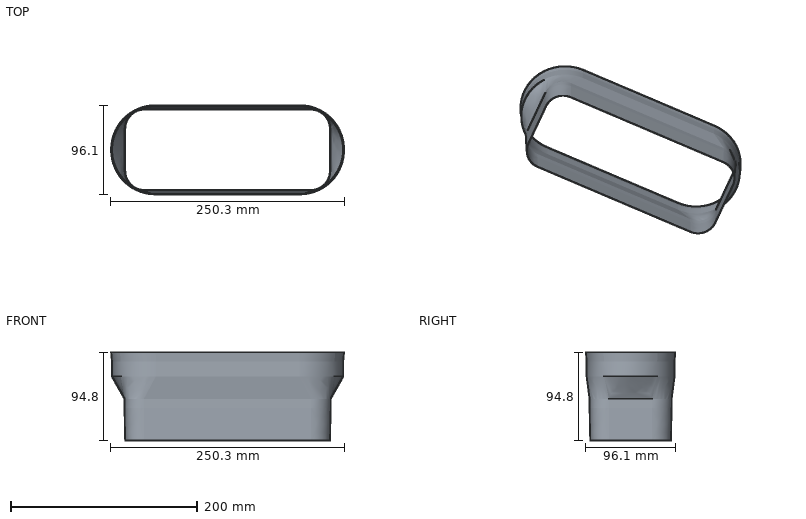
import cadquery as cq
import math

WALL = 0.5

BASE_LENGTH, BASE_WIDTH = 220.0, 86.9
BODY_LENGTH, BODY_WIDTH = 221.5, 88.4
SOCKET_LENGTH, SOCKET_WIDTH = 248.5, 94.5
RIM_LENGTH, RIM_WIDTH = 250.3, 96.1
BODY_CORNER_RADIUS = 21.0
BASE_CORNER_RADIUS = BODY_CORNER_RADIUS - (BODY_LENGTH - BASE_LENGTH) / 2

Z_BODY = 34.8
COLLAR_HEIGHT = 10.0
TRANSITION_HEIGHT = 24.0
SOCKET_HEIGHT = 16.0
RIM_HEIGHT = 10.0
Z_TRANSITION = Z_BODY + COLLAR_HEIGHT
Z_SOCKET = Z_TRANSITION + TRANSITION_HEIGHT
Z_RIM = Z_SOCKET + SOCKET_HEIGHT
Z_TOP = Z_RIM + RIM_HEIGHT

FLAT_HALF = BODY_WIDTH / 2 - BODY_CORNER_RADIUS
CORNER_ARC = BODY_CORNER_RADIUS * math.pi / 2
END_HALF_ANGLE = math.pi / 2 * FLAT_HALF / (FLAT_HALF + CORNER_ARC)


def arc_edge(center, radius, start, end, z):
    """Horizontal arc between two angles."""
    points = []
    for angle in (start, (start + end) / 2, end):
        x = center[0] + radius * math.cos(angle)
        y = center[1] + radius * math.sin(angle)
        points.append(cq.Vector(x, y, z))
    return cq.Edge.makeThreePointArc(*points)


def closed_outline(arcs):
    """Join consecutive arcs with straight edges wherever their ends are apart."""
    edges = []
    for arc, following in zip(arcs, arcs[1:] + arcs[:1]):
        edges.append(arc)
        gap_start, gap_end = arc.endPoint(), following.startPoint()
        if (gap_end - gap_start).Length > WALL / 100:
            edges.append(cq.Edge.makeLine(gap_start, gap_end))
    return cq.Wire.assembleEdges(edges)


def rounded_rectangle(length, width, radius, z, inset):
    """Rounded rectangle, drawn anticlockwise from the +X end."""
    corner_radius = radius - inset
    cx = length / 2 - radius
    cy = width / 2 - radius
    centers = [(cx, cy), (-cx, cy), (-cx, -cy), (cx, -cy)]
    quarter = math.pi / 2
    arcs = [
        arc_edge(center, corner_radius, i * quarter, (i + 1) * quarter, z)
        for i, center in enumerate(centers)
    ]
    return closed_outline(arcs)


def stadium(length, width, z, inset):
    """Stadium whose end arcs are split to pair with a rounded rectangle's edges."""
    radius = width / 2 - inset
    cx = (length - width) / 2
    a = END_HALF_ANGLE
    spans = [
        (cx, a, math.pi / 2),
        (-cx, math.pi / 2, math.pi - a),
        (-cx, math.pi - a, math.pi + a),
        (-cx, math.pi + a, 3 * math.pi / 2),
        (cx, 3 * math.pi / 2, 2 * math.pi - a),
        (cx, 2 * math.pi - a, 2 * math.pi + a),
    ]
    return closed_outline([arc_edge((x, 0), radius, start, end, z) for x, start, end in spans])


def stacked_form(inset):
    """Solid form of the whole sleeve, drawn in from the outside by inset."""
    sections = [
        rounded_rectangle(BASE_LENGTH, BASE_WIDTH, BASE_CORNER_RADIUS, 0, inset),
        rounded_rectangle(BODY_LENGTH, BODY_WIDTH, BODY_CORNER_RADIUS, Z_BODY, inset),
        rounded_rectangle(BODY_LENGTH, BODY_WIDTH, BODY_CORNER_RADIUS, Z_TRANSITION, inset),
        stadium(SOCKET_LENGTH, SOCKET_WIDTH, Z_SOCKET, inset),
        stadium(SOCKET_LENGTH, SOCKET_WIDTH, Z_RIM, inset),
        stadium(RIM_LENGTH, RIM_WIDTH, Z_TOP, inset),
    ]
    return cq.Workplane(cq.Solid.makeLoft(sections, True))


result = stacked_form(0).cut(stacked_form(WALL))